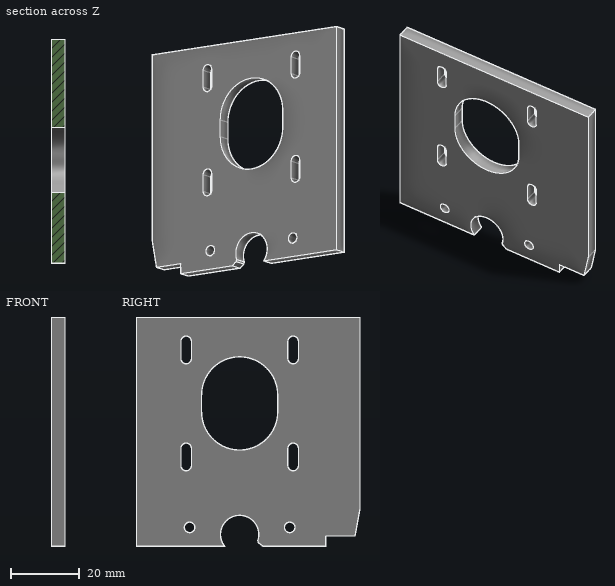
import cadquery as cq
import math

thickness = 4.0
width = 65.0
height = 66.5
right_edge = -30.0
left_edge = right_edge + width

step_y = 25.0
step_height = 3.0
slope_top = 11.0
slope_inset = 1.45

motor_z = 41.5
opening_width = 22.0
opening_height = 27.0
slot_width = 3.0
slot_height = 8.0
slot_spacing = 31.05

hole_diameter = 3.0
hole_spacing = 29.05
hole_z = 5.5

notch_radius = 5.5
notch_z = 3.45
relief_end_y = 6.8
relief_corner = (5.4, 1.05)
relief_top_z = 1.65


def extrude_through(sketch):
    """Extrude a YZ sketch through the full plate thickness."""
    return sketch.extrude(thickness)


def upright_slots(centers, slot_length, slot_diameter):
    """Rounded slots through the plate, with their long direction along Z."""
    sketch = cq.Workplane("YZ").pushPoints(centers)
    return extrude_through(sketch.slot2D(slot_length, slot_diameter, 90))


def notch_half_chord(z):
    """Half width of the notch circle at height z."""
    return math.sqrt(notch_radius**2 - (z - notch_z) ** 2)


def make_plate():
    """Plate outline, including the foot step and the bottom notch."""
    outline = (
        cq.Workplane("YZ")
        .moveTo(right_edge, 0)
        .lineTo(right_edge, height)
        .lineTo(left_edge, height)
        .lineTo(left_edge, slope_top)
        .lineTo(left_edge - slope_inset, step_height)
        .lineTo(step_y, step_height)
        .lineTo(step_y, 0)
        .lineTo(relief_end_y, 0)
        .lineTo(*relief_corner)
        .lineTo(notch_half_chord(relief_top_z), relief_top_z)
        .threePointArc((0, notch_z + notch_radius), (-notch_half_chord(0), 0))
        .close()
    )
    return extrude_through(outline)


motor_opening = upright_slots([(0, motor_z)], opening_height, opening_width)

slot_centers = [
    (side * slot_spacing / 2, motor_z + level * slot_spacing / 2)
    for side in (-1, 1)
    for level in (-1, 1)
]
adjusting_slots = upright_slots(slot_centers, slot_height, slot_width)

hole_centers = [(side * hole_spacing / 2, hole_z) for side in (-1, 1)]
round_holes = extrude_through(
    cq.Workplane("YZ").pushPoints(hole_centers).circle(hole_diameter / 2)
)

result = make_plate().cut(motor_opening).cut(adjusting_slots).cut(round_holes)